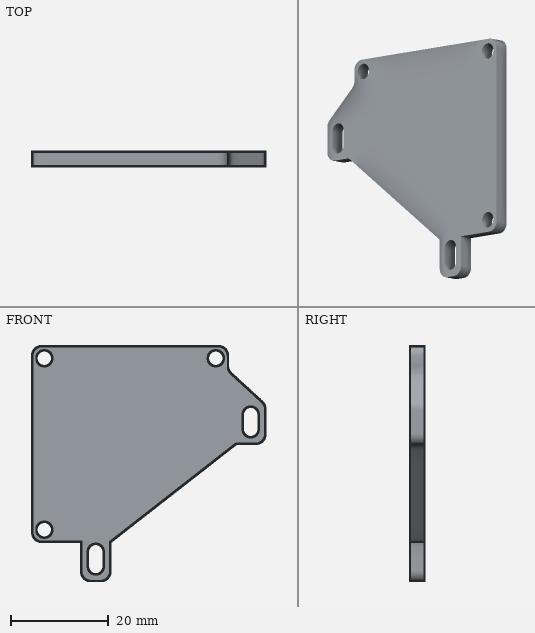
import cadquery as cq

plate_size = 40.0
thickness = 3.0
corner_radius = 2.0

hole_diameter = 3.2
hole_inset = 2.5

lug_width = 6.0
lower_lug_left = 10.0
lower_lug_drop = 8.0
overall_width = 47.63
side_lug_bottom = 20.0

slope_top = 35.0
slope_bottom = 28.0

slot_width = hole_diameter
slot_travel = 3.0
slot_end_distance = 3.0

lower_lug_right = lower_lug_left + lug_width
side_lug_left = overall_width - lug_width
slot_length = slot_travel + slot_width
slot_centre_rise = slot_end_distance + slot_travel / 2

plate_and_side_lug_corners = [
    (0, 0),
    (0, plate_size),
    (plate_size, plate_size),
    (plate_size, slope_top),
    (overall_width, slope_bottom),
    (overall_width, side_lug_bottom),
]
diagonal_edge = [
    (side_lug_left, side_lug_bottom),
    (lower_lug_right, 0),
]
lower_lug_tip = [
    (lower_lug_right, -lower_lug_drop),
    (lower_lug_left, -lower_lug_drop),
]
lower_lug_inner_corner = (lower_lug_left, 0)


def front_plane():
    """XZ sketch whose positive extrusion runs toward -Y, placed on the back face."""
    return cq.Workplane("XZ", origin=(0, thickness, 0))


def make_plate():
    """Plate and lugs in one outline, with sharp corners only along the diagonal and inside the lower lug."""
    outline = plate_and_side_lug_corners + diagonal_edge + lower_lug_tip + [lower_lug_inner_corner]
    plate = front_plane().polyline(outline).close().extrude(thickness)
    for x, z in plate_and_side_lug_corners + lower_lug_tip:
        picker = cq.selectors.NearestToPointSelector((x, thickness / 2, z))
        plate = plate.edges("|Y").edges(picker).fillet(corner_radius)
    return plate


def make_holes():
    """Through-hole cutters at every plate corner except the lower right."""
    near = hole_inset
    far = plate_size - hole_inset
    centres = [(near, near), (near, far), (far, far)]
    return front_plane().pushPoints(centres).circle(hole_diameter / 2).extrude(thickness)


def make_slots():
    """Vertical through-slot cutters, centred across the width of each lug."""
    half_lug = lug_width / 2
    centres = [
        (lower_lug_left + half_lug, slot_centre_rise - lower_lug_drop),
        (side_lug_left + half_lug, slot_centre_rise + side_lug_bottom),
    ]
    return front_plane().pushPoints(centres).slot2D(slot_length, slot_width, 90).extrude(thickness)


result = make_plate().cut(make_holes()).cut(make_slots())